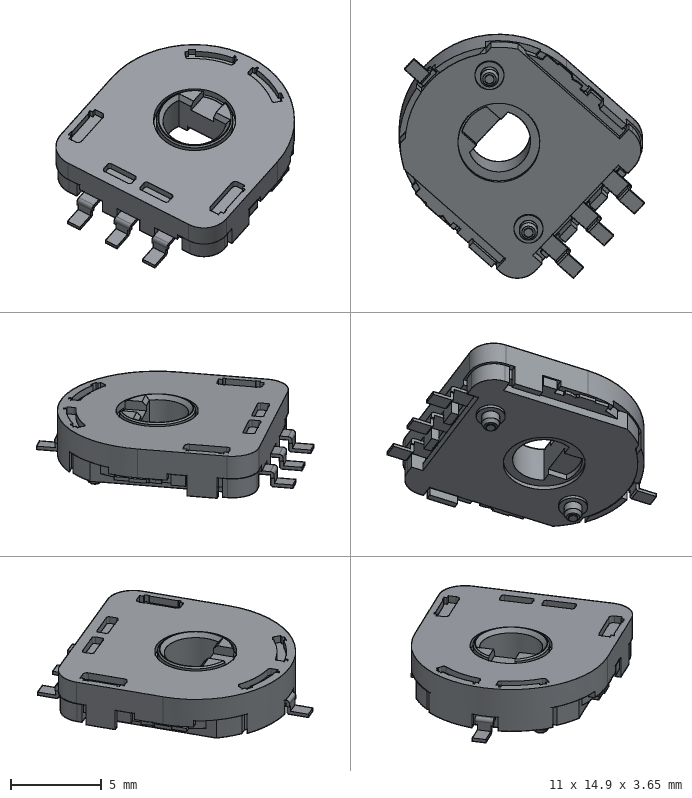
import cadquery as cq
import math


cover_radius = 5.5
cover_front = -6.53
corner_radius = 1.49
cover_top = 2.58
cover_bottom = 1.22
skirt_thickness = 0.35
front_skirt_thickness = 0.45
skirt_step = 0.85
hole_diameter = 4.51
slot_depth = 0.42

base_bottom = 0.05
floor_top = 0.55
base_top = 1.19
rear_block_radius = 5.44
front_block_inset = 0.1
floor_front = -5.72
floor_lip = 0.15
side_flat = 4.65
rear_block_end = 3.98
front_block_end = -4.75
front_block_side = 3.49

collar_diameter = 4.2
collar_top = 2.71
collar_chamfer = 0.09
keyway_floor = 2.18
groove_bottom = 2.15
bore_diameter = 3.47
bore_flat = 0.76
bore_chamfer = 0.24
key_width = 1.49
rotor_bottom = 0.3
bottom_recess_diameter = 4.5
notch_width = 2.0
notch_top = 0.65

metal = 0.21
arm_top = floor_top + metal
narrow_top = 0.36
foot_bottom = -0.18
foot_length = 1.05
front_leg = -7.17
rear_leg = 5.65
terminal_pitch = 2.49

pin_washer_diameter = 1.6
pin_diameter = 1.0
pin_cone_diameter = 0.73
pin_tip_diameter = 0.5
pin_washer_bottom = -0.13
pin_cone_top = -0.63
pin_cone_bottom = -0.85
pin_bottom = -0.94
pin_spacing = 2.5
pin_rear = 3.0
pin_front = -4.5


def box(x_range, y_range, z_range):
    """Box given by its limits along each axis."""
    (x0, x1), (y0, y1), (z0, z1) = x_range, y_range, z_range
    return cq.Workplane("XY").box(x1 - x0, y1 - y0, z1 - z0, centered=False).translate((x0, y0, z0))


def cylinder(diameter, bottom, top):
    """Upright cylinder on the rotor axis."""
    return cq.Workplane("XY").workplane(offset=bottom).circle(diameter / 2).extrude(top - bottom)


def body(radius, front, corner, bottom, top):
    """Prism with a half-round rear, straight sides and two rounded front corners."""
    diagonal = corner * (1 - math.sqrt(0.5))
    return (
        cq.Workplane("XY")
        .workplane(offset=bottom)
        .moveTo(-radius, 0)
        .threePointArc((0, radius), (radius, 0))
        .lineTo(radius, front + corner)
        .threePointArc((radius - diagonal, front + diagonal), (radius - corner, front))
        .lineTo(corner - radius, front)
        .threePointArc((diagonal - radius, front + diagonal), (-radius, front + corner))
        .close()
        .extrude(top - bottom)
    )


def both_sides(shape):
    """The shape together with its mirror image across the YZ plane."""
    return shape.union(shape.mirror("YZ"))


core_radius = cover_radius - skirt_thickness
core_front = cover_front + front_skirt_thickness
core_corner = corner_radius - skirt_thickness
reach = 2 * cover_radius


def make_base():
    """Floor plate, wider core above it, and taller blocks at the corners."""
    core = body(core_radius, core_front, core_corner, base_bottom, cover_bottom)
    undercut = box((side_flat, reach), (front_block_end, rear_block_end), (base_bottom, floor_top))
    core = core.cut(both_sides(undercut))
    floor_gap = (-front_block_side, front_block_side)
    core = core.cut(box(floor_gap, (core_front, floor_front), (base_bottom, cover_bottom)))
    core = core.cut(box(floor_gap, (floor_front, floor_front + floor_lip), (floor_top, cover_bottom)))
    rear_start = math.sqrt(core_radius**2 - side_flat**2)
    rear_block = cylinder(2 * rear_block_radius, base_bottom, base_top)
    rear_block = rear_block.intersect(
        box((-side_flat, side_flat), (rear_start, rear_block_end), (base_bottom, base_top))
    )
    front_blocks = body(
        cover_radius - front_block_inset,
        cover_front + front_block_inset,
        corner_radius - front_block_inset,
        base_bottom,
        base_top,
    )
    front_space = box((front_block_side, reach), (-reach, front_block_end), (base_bottom, base_top))
    front_blocks = front_blocks.intersect(both_sides(front_space))
    return core.union(rear_block).union(front_blocks)


def make_side_ledges():
    """Low stepped ledges and a post that stand out under each side of the cover."""
    ledge_end = 1.33
    pad_end = 0.49
    ledge_side = 5.36
    pad_side = 5.45
    ramp_side = 5.27
    ramp_start = -0.63
    ramp_end = -0.98
    post_rear = -1.88
    post_front = -2.7
    ledge = box((side_flat, ledge_side), (-ledge_end, ledge_end), (floor_top, arm_top))
    pad = box((side_flat, pad_side), (-pad_end, pad_end), (floor_top, arm_top))
    post = box((side_flat, pad_side), (post_front, post_rear), (floor_top, base_top))
    ramp = (
        cq.Workplane("XY")
        .workplane(offset=floor_top)
        .moveTo(ledge_side, ramp_start)
        .lineTo(ramp_side, ramp_start)
        .lineTo(ledge_side, ramp_end)
        .close()
        .extrude(metal)
    )
    return both_sides(ledge.cut(ramp).union(pad).union(post))


rear_skirt_end = 4.22
side_step_rear = 1.68
side_step_front = -1.67
side_tab_rear = -2.79
side_tab_front = -4.48
front_step_side = 3.25
front_tab_inner = 0.75
front_tab_outer = 1.73


def make_skirt():
    """Thin wall below the cover, stepped and cut into tabs."""
    wall = body(cover_radius, cover_front, corner_radius, 0, cover_bottom).cut(
        body(core_radius, core_front, core_corner, 0, cover_bottom)
    )
    full = (0, cover_bottom)
    step = (skirt_step, cover_bottom)
    keep = box((-front_step_side, front_step_side), (cover_front, core_front), step)
    keep = keep.union(box((-reach, reach), (side_step_front, side_step_rear), step))
    keep = keep.union(box((-reach, reach), (rear_skirt_end, reach), full))
    keep = keep.union(box((-reach, reach), (side_tab_front, side_tab_rear), full))
    front_tab = box((front_tab_inner, front_tab_outer), (cover_front, core_front), full)
    keep = keep.union(both_sides(front_tab))
    rear_opening = box((-front_tab_inner, front_tab_inner), (rear_skirt_end, reach), (0, skirt_step))
    return wall.intersect(keep.cut(rear_opening))


def slot_block(x_range, y_range):
    """Block with the depth of the slots in the top of the cover."""
    return box(x_range, y_range, (cover_top - slot_depth, cover_top))


def ring_sector(inner, outer, start, end):
    """Part of a ring between two angles measured from +Y towards +X."""

    def point(radius, angle):
        turn = math.radians(angle)
        return radius * math.sin(turn), radius * math.cos(turn)

    middle = (start + end) / 2
    return (
        cq.Workplane("XY")
        .workplane(offset=cover_top - slot_depth)
        .moveTo(*point(inner, start))
        .threePointArc(point(inner, middle), point(inner, end))
        .lineTo(*point(outer, end))
        .threePointArc(point(outer, middle), point(outer, start))
        .close()
        .extrude(slot_depth)
    )


def front_slot():
    """Plain rounded slot along the front edge."""
    x_range = (0.28, 2.15)
    y_range = (-5.9, -5.23)
    corner = 0.15
    return slot_block(x_range, y_range).edges("|Z").fillet(corner)


def side_slot():
    """Long slot whose outer edge has a shallow widening with a nub at each end."""
    slot_inner = 4.28
    slot_outer = 4.96
    widening_outer = 5.1
    nub_outer = 5.14
    corner = 0.24
    slot_ends = (-5.0, -2.45)
    widening_ends = (-4.77, -2.67)
    front_nub_rear = -4.5
    rear_nub_front = -2.8
    middle = (slot_inner + slot_outer) / 2
    slot = slot_block((slot_inner, slot_outer), slot_ends).edges("|Z and <X").fillet(corner)
    slot = slot.union(slot_block((middle, widening_outer), widening_ends))
    front_nub = (widening_ends[0], front_nub_rear)
    rear_nub = (rear_nub_front, widening_ends[1])
    for nub in (front_nub, rear_nub):
        slot = slot.union(slot_block((middle, nub_outer), nub))
    return slot


def rear_slot():
    """Curved slot with a straight inner end and a nub near each end."""
    inner = 4.47
    outer = 4.99
    corner_fillet = 0.15
    straight_end = 0.5
    end_angle = 40
    near_nub = (0.69, 0.79)
    near_nub_rear = 5.11
    far_nub_radius = 5.14
    far_nub_angles = (33.5, 37.7)
    mid_radius = (inner + outer) / 2
    mid_height = cover_top - slot_depth / 2
    end_turn = math.radians(end_angle)
    near_corner = (straight_end, math.sqrt(inner**2 - straight_end**2), mid_height)
    far_corner = (inner * math.sin(end_turn), inner * math.cos(end_turn), mid_height)
    slot = ring_sector(inner, outer, 0, end_angle)
    slot = slot.intersect(slot_block((straight_end, reach), (0, reach)))
    for corner in (near_corner, far_corner):
        nearest = cq.selectors.NearestToPointSelector(corner)
        slot = slot.edges("|Z").edges(nearest).fillet(corner_fillet)
    slot = slot.union(ring_sector(mid_radius, far_nub_radius, *far_nub_angles))
    return slot.union(slot_block(near_nub, (mid_radius, near_nub_rear)))


def make_cover():
    """Solid cover with mirrored pairs of slots and the hole around the collar."""
    cover = body(cover_radius, cover_front, corner_radius, cover_bottom, cover_top)
    slots = front_slot().union(side_slot()).union(rear_slot())
    cover = cover.cut(both_sides(slots))
    return cover.cut(cylinder(hole_diameter, groove_bottom, cover_top))


def make_collar():
    """Collar standing in the hole of the cover, with a groove left around it."""
    return cylinder(collar_diameter, groove_bottom, collar_top).faces(">Z").chamfer(collar_chamfer)


def make_bore():
    """D-shaped through bore with a chamfered mouth."""
    bore = cylinder(bore_diameter, base_bottom, collar_top)
    bore = bore.intersect(box((-reach, reach), (-reach, bore_flat), (base_bottom, collar_top)))
    wide = cylinder(bore_diameter + 2 * bore_chamfer, base_bottom, collar_top)
    wide = wide.intersect(
        box((-reach, reach), (-reach, bore_flat + bore_chamfer), (base_bottom, collar_top))
    )
    mouth = wide.faces("<Z").chamfer(bore_chamfer)
    mouth = mouth.translate((0, 0, collar_top - base_bottom - bore_chamfer))
    return bore.union(mouth)


def make_keyway():
    """Flat channel from the bore to the rear edge of the collar."""
    channel = box((-key_width / 2, key_width / 2), (0, reach), (keyway_floor, collar_top))
    return channel.intersect(cylinder(collar_diameter, keyway_floor, collar_top))


def make_underside_recess():
    """Shallow round recess below the rotor and a notch behind the flat of the bore."""
    recess = cylinder(bottom_recess_diameter, base_bottom, rotor_bottom)
    notch = box((-notch_width / 2, notch_width / 2), (0, reach), (base_bottom, notch_top))
    return recess.union(notch.intersect(cylinder(collar_diameter, base_bottom, notch_top)))


def make_terminal(center, leg, direction, root, wide, narrow):
    """Gull-wing strip: arm on the floor, leg down, narrower foot outwards along Y."""
    back = leg - direction * metal
    foot_end = leg + direction * foot_length
    foot_top = foot_bottom + metal
    bend = metal * (1 - math.sqrt(0.5))
    strip = (
        cq.Workplane("YZ")
        .moveTo(root, arm_top)
        .lineTo(back, arm_top)
        .threePointArc((leg - direction * bend, arm_top - bend), (leg, arm_top - metal))
        .lineTo(leg, foot_top)
        .lineTo(foot_end, foot_top)
        .lineTo(foot_end, foot_bottom)
        .lineTo(leg - direction * metal / 2, foot_bottom)
        .lineTo(back, foot_bottom + metal / 2)
        .lineTo(back, floor_top)
        .lineTo(root, floor_top)
        .close()
        .extrude(wide / 2, both=True)
    )
    upper = box((-wide / 2, wide / 2), (-reach, reach), (narrow_top, arm_top))
    lower = box((-narrow / 2, narrow / 2), (-reach, reach), (foot_bottom, narrow_top))
    return strip.intersect(upper.union(lower)).translate((center, 0, 0))


def make_terminals():
    """Three terminals at the front and one at the rear, rooted inside the base."""
    middle_widths = (1.05, 0.77)
    outer_widths = (1.0, 0.82)
    front_root = floor_front + floor_lip + metal
    rear_root = core_radius - metal
    terminals = make_terminal(0, front_leg, -1, front_root, *middle_widths)
    terminals = terminals.union(make_terminal(0, rear_leg, 1, rear_root, *middle_widths))
    for center in (-terminal_pitch, terminal_pitch):
        terminals = terminals.union(make_terminal(center, front_leg, -1, front_root, *outer_widths))
    return terminals


def make_pin(x, y):
    """Washer, round pin, tapered end and a small flat tip."""
    pin = cylinder(pin_washer_diameter, pin_washer_bottom, floor_top)
    pin = pin.union(cylinder(pin_diameter, pin_cone_top, floor_top))
    taper = (
        cq.Workplane("XY")
        .workplane(offset=pin_cone_top)
        .circle(pin_diameter / 2)
        .workplane(offset=pin_cone_bottom - pin_cone_top)
        .circle(pin_cone_diameter / 2)
        .loft()
    )
    pin = pin.union(taper).union(cylinder(pin_tip_diameter, pin_bottom, floor_top))
    return pin.translate((x, y, 0))


result = make_base().union(make_side_ledges()).union(make_skirt()).union(make_cover())
result = result.union(make_collar()).cut(make_bore()).cut(make_keyway())
result = result.cut(make_underside_recess()).union(make_terminals())
result = result.union(make_pin(pin_spacing, pin_front)).union(make_pin(-pin_spacing, pin_rear))